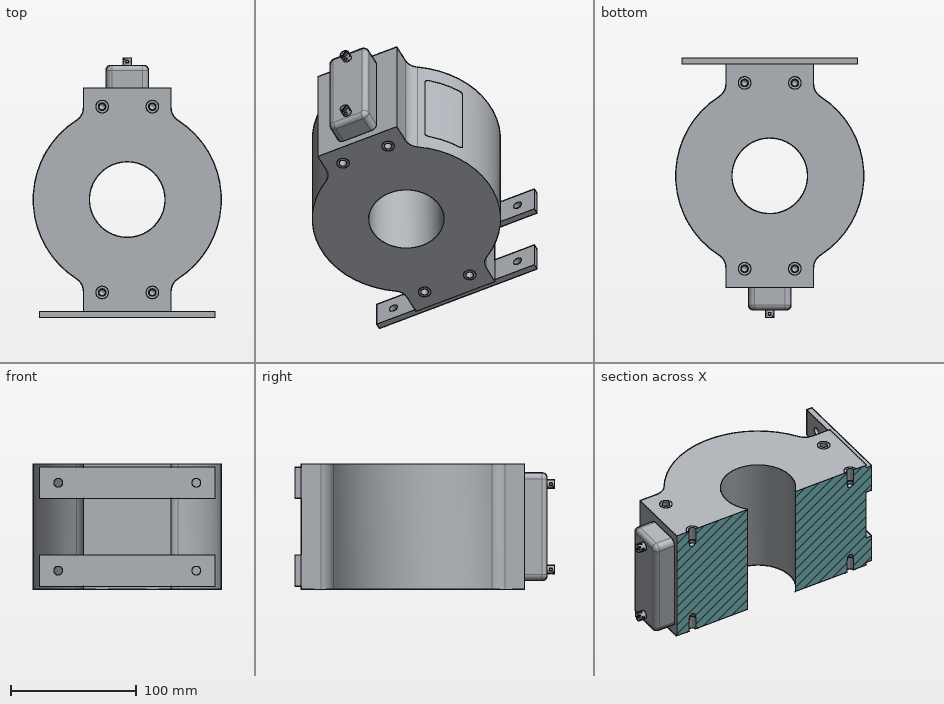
import cadquery as cq
import math

BODY_HEIGHT = 100.0
BODY_HALF_LENGTH = 89.0
RING_RADIUS = 75.0
BORE_DIAMETER = 60.0
NECK_WIDTH = 70.0
NECK_BLEND_RADIUS = 12.0

INSERT_DIAMETER = 10.0
INSERT_PROUD = 0.1
INSERT_SPACING_X = 40.0
INSERT_SPACING_Y = 148.0
THREAD_DIAMETER = 6.0
THREAD_DEPTH = 12.0
CORE_DIAMETER = 5.0
CORE_DEPTH = 15.0
DRILL_TIP_ANGLE = 118.0

BAR_LENGTH = 140.0
BAR_HEIGHT = 25.0
BAR_THICKNESS = 5.0
BAR_SPACING = 70.0
BAR_HOLE_DIAMETER = 7.0
BAR_HOLE_SPACING = 110.0

BOX_WIDTH = 34.0
BOX_HEIGHT = 86.0
BOX_DEPTH = 17.89
BOX_CORNER_RADIUS = 5.0
BOX_FRONT_RADIUS = 4.0

STUD_DIAMETER = 7.0
STUD_LENGTH = 6.0
STUD_SPACING = 68.0
STUD_HOLE_DIAMETER = 2.0
STUD_HOLE_FROM_TIP = 3.0
STUD_SLOT_WIDTH = 1.0
STUD_SLOT_DEPTH = 1.2
STUD_SLOT_ANGLE = 45.0

LABEL_WIDTH = 25.0
LABEL_HEIGHT = 70.0
LABEL_CORNER_RADIUS = 2.5
LABEL_DEPTH = 0.1
LABEL_CENTER_Y = 47.0

BOX_FRONT_Y = BODY_HALF_LENGTH + BOX_DEPTH


def make_body():
    """Ring and straight neck band, the four concave corners blended."""
    ring = cq.Workplane("XY").circle(RING_RADIUS).extrude(BODY_HEIGHT / 2, both=True)
    neck = cq.Workplane("XY").box(NECK_WIDTH, 2 * BODY_HALF_LENGTH, BODY_HEIGHT)
    corner_x = NECK_WIDTH / 2
    corner_y = math.sqrt(RING_RADIUS**2 - corner_x**2)
    body = ring.union(neck)
    for side_x in (-1, 1):
        for side_y in (-1, 1):
            corner = cq.selectors.NearestToPointSelector((side_x * corner_x, side_y * corner_y, 0))
            body = body.edges("|Z").edges(corner).fillet(NECK_BLEND_RADIUS)
    bore = cq.Workplane("XY").circle(BORE_DIAMETER / 2).extrude(BODY_HEIGHT / 2, both=True)
    return body.cut(bore)


def add_inserts(body):
    """Four inserts per end face, each with a stepped blind hole ending in a drill cone."""
    face_z = BODY_HEIGHT / 2
    thread_radius = THREAD_DIAMETER / 2
    core_radius = CORE_DIAMETER / 2
    tip_length = core_radius / math.tan(math.radians(DRILL_TIP_ANGLE / 2))
    top_z = face_z + INSERT_PROUD
    thread_end_z = top_z - THREAD_DEPTH
    core_end_z = top_z - CORE_DEPTH
    collar = cq.Workplane("XY").workplane(offset=face_z).circle(INSERT_DIAMETER / 2).extrude(INSERT_PROUD)
    hole_profile = [
        (0, top_z),
        (thread_radius, top_z),
        (thread_radius, thread_end_z),
        (core_radius, thread_end_z),
        (core_radius, core_end_z),
        (0, core_end_z - tip_length),
    ]
    hole = cq.Workplane("XZ").polyline(hole_profile).close().revolve(360, (0, 0, 0), (0, 1, 0))
    for x in (-INSERT_SPACING_X / 2, INSERT_SPACING_X / 2):
        for y in (-INSERT_SPACING_Y / 2, INSERT_SPACING_Y / 2):
            placed_collar = collar.translate((x, y, 0))
            placed_hole = hole.translate((x, y, 0))
            body = body.union(placed_collar).union(placed_collar.mirror("XY"))
            body = body.cut(placed_hole).cut(placed_hole.mirror("XY"))
    return body


def make_bar():
    """Flat bar centred in X and Z, lying against the -Y end of the body."""
    return (
        cq.Workplane("XY")
        .box(BAR_LENGTH, BAR_THICKNESS, BAR_HEIGHT)
        .faces("<Y")
        .workplane(centerOption="CenterOfBoundBox")
        .rarray(BAR_HOLE_SPACING, 1, 2, 1)
        .hole(BAR_HOLE_DIAMETER)
        .translate((0, -BODY_HALF_LENGTH - BAR_THICKNESS / 2, 0))
    )


def make_terminal_box():
    """Box on the +Y end, rounded at its side corners and around its front."""
    return (
        cq.Workplane("XY")
        .box(BOX_WIDTH, BOX_DEPTH, BOX_HEIGHT)
        .edges("|Y")
        .fillet(BOX_CORNER_RADIUS)
        .faces(">Y")
        .edges()
        .fillet(BOX_FRONT_RADIUS)
        .translate((0, BODY_HALF_LENGTH + BOX_DEPTH / 2, 0))
    )


def make_stud():
    """Stud along +Y with its foot on the box front and its axis at Z = 0."""
    tip_y = BOX_FRONT_Y + STUD_LENGTH
    hole_y = tip_y - STUD_HOLE_FROM_TIP
    hole_radius = STUD_HOLE_DIAMETER / 2
    stud = cq.Workplane("XZ", origin=(0, BOX_FRONT_Y, 0)).circle(STUD_DIAMETER / 2).extrude(-STUD_LENGTH)
    for plane in ("XY", "YZ"):
        cross_hole = cq.Workplane(plane, origin=(0, hole_y, 0)).circle(hole_radius)
        stud = stud.cut(cross_hole.extrude(STUD_DIAMETER, both=True))
    slot = (
        cq.Workplane("XY")
        .box(2 * STUD_DIAMETER, STUD_SLOT_DEPTH, STUD_SLOT_WIDTH)
        .rotate((0, 0, 0), (0, 1, 0), STUD_SLOT_ANGLE)
        .translate((0, tip_y - STUD_SLOT_DEPTH / 2, 0))
    )
    return stud.cut(slot)


def make_label_recess():
    """Thin curved slice of the ring surface to remove, outlined as a rounded rectangle seen along X."""
    outline = (
        cq.Workplane("XY")
        .box(RING_RADIUS, LABEL_WIDTH, LABEL_HEIGHT)
        .edges("|X")
        .fillet(LABEL_CORNER_RADIUS)
        .translate((-RING_RADIUS, LABEL_CENTER_Y, 0))
    )
    shell = (
        cq.Workplane("XY")
        .circle(RING_RADIUS)
        .circle(RING_RADIUS - LABEL_DEPTH)
        .extrude(BODY_HEIGHT / 2, both=True)
    )
    return shell.intersect(outline)


result = add_inserts(make_body())
for bar_z in (-BAR_SPACING / 2, BAR_SPACING / 2):
    result = result.union(make_bar().translate((0, 0, bar_z)))
result = result.union(make_terminal_box())
for stud_z in (-STUD_SPACING / 2, STUD_SPACING / 2):
    result = result.union(make_stud().translate((0, 0, stud_z)))
result = result.cut(make_label_recess())